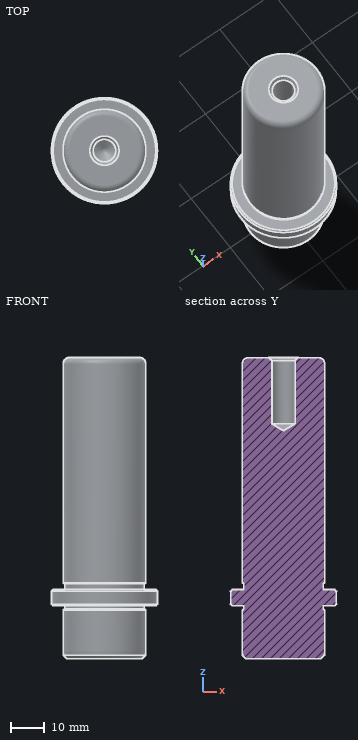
import cadquery as cq
import math

length = 91.0
shaft_diameter = 25.0
shaft_radius = shaft_diameter / 2
tip_round = 2.0

collar_radius = 16.0
collar_bottom = 16.0
collar_top = 21.0
collar_chamfer = 0.55
groove_radius = 12.0
upper_groove_top = 22.7
upper_flare_height = 0.3
lower_groove_bottom = 15.2
lower_flare = shaft_radius - groove_radius

lead_in_height = 2.2
lead_in_relief = 0.1
foot_chamfer = 1.1

hole_diameter = 6.8
hole_radius = hole_diameter / 2
hole_depth = 20.0
hole_chamfer = 1.0
drill_point_angle = 118.0


def make_body():
    """Revolve the stepped outer profile about Z."""
    lead_in_radius = shaft_radius - lead_in_relief
    rim_radius = collar_radius - collar_chamfer
    round_center_radius = shaft_radius - tip_round
    round_center_height = length - tip_round
    round_offset = tip_round * math.sqrt(0.5)
    return (
        cq.Workplane("XZ")
        .lineTo(lead_in_radius - foot_chamfer, 0)
        .lineTo(lead_in_radius, foot_chamfer)
        .lineTo(shaft_radius, lead_in_height)
        .lineTo(shaft_radius, lower_groove_bottom - lower_flare)
        .lineTo(groove_radius, lower_groove_bottom)
        .lineTo(groove_radius, collar_bottom)
        .lineTo(rim_radius, collar_bottom)
        .lineTo(collar_radius, collar_bottom + collar_chamfer)
        .lineTo(collar_radius, collar_top - collar_chamfer)
        .lineTo(rim_radius, collar_top)
        .lineTo(groove_radius, collar_top)
        .lineTo(groove_radius, upper_groove_top)
        .lineTo(shaft_radius, upper_groove_top + upper_flare_height)
        .lineTo(shaft_radius, round_center_height)
        .threePointArc(
            (round_center_radius + round_offset, round_center_height + round_offset),
            (round_center_radius, length),
        )
        .lineTo(0, length)
        .close()
        .revolve(360, (0, 0), (0, 1))
    )


def make_hole():
    """Revolve the chamfered hole with its conical drill point."""
    floor = length - hole_depth
    point_depth = hole_radius / math.tan(math.radians(drill_point_angle / 2))
    return (
        cq.Workplane("XZ")
        .moveTo(0, length)
        .lineTo(hole_radius + hole_chamfer, length)
        .lineTo(hole_radius, length - hole_chamfer)
        .lineTo(hole_radius, floor)
        .lineTo(0, floor - point_depth)
        .close()
        .revolve(360, (0, 0), (0, 1))
    )


result = make_body().cut(make_hole())